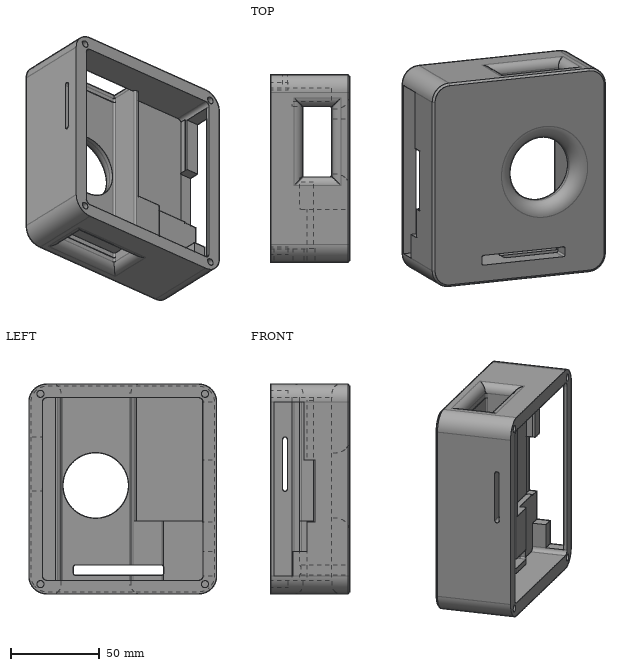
import cadquery as cq
import math

DEPTH = 45.0
WIDTH = 106.5
HEIGHT = 119.0
WALL = 7.75
CAVITY_RADIUS = 2.5
BACK_EDGE = 1.25

CAVITY_Y = WIDTH / 2 - WALL
CAVITY_Z = HEIGHT / 2 - WALL
CORNER_RADIUS = CAVITY_RADIUS + WALL

RIB_THICKNESS = 3.0
RIB_ROUND = 1.1
CHANNEL_FLOOR_X = 34.6
CHANNEL_CORNER_RADIUS = 1.0
CHANNEL_MAX_Y = 35.05
CHANNEL_MIN_Y = -4.7
OUTER_RIB_X = 12.1
INNER_RIB_X = 16.5
PORT_MIN_X = 18.3
PORT_MAX_X = 34.9
PORT_FLARE = 5.0

BLOCK_MIN_Y = -23.2
BAY_FLOOR_X = 20.6
SHELF_X = 24.2
SHELF_MIN_Y = -45.3
SHELF_Z = -18.1

SENSOR_DIAMETER = 37.0
SENSOR_Y = 15.3
SENSOR_Z = 2.0
SENSOR_FLARE_START_X = 37.0

BACK_SLOT_LENGTH = 51.0
BACK_SLOT_HEIGHT = 5.7
BACK_SLOT_Y = 2.4
BACK_SLOT_Z = -45.95
BACK_SLOT_RADIUS = 1.0

SIDE_SLOT_WIDTH = 2.6
SIDE_SLOT_LENGTH = 30.6
SIDE_SLOT_X = 8.2
SIDE_SLOT_Z = 14.1

WINDOW_FRONT_X = 2.0
WINDOW_Z = HEIGHT / 2 - CORNER_RADIUS
NOTCH_TOP_Z = 16.3
NOTCH_BOTTOM_Z = -18.6
SILL_Z = -35.4
WINDOW_TOP_X = 19.0
NOTCH_X = 25.2
WINDOW_BOTTOM_X = 12.6
WINDOW_STEPS = [
    (NOTCH_TOP_Z, WINDOW_Z, WINDOW_TOP_X),
    (NOTCH_BOTTOM_Z, NOTCH_TOP_Z, NOTCH_X),
    (SILL_Z, NOTCH_BOTTOM_Z, BAY_FLOOR_X),
    (-WINDOW_Z, SILL_Z, WINDOW_BOTTOM_X),
]

SCREW_DIAMETER = 4.0
SCREW_DEPTH = 10.0
SCREW_SPACING_Y = 93.2
SCREW_SPACING_Z = 107.8


def block(x_range, y_range, z_range):
    """Box spanning the given coordinate ranges."""
    (x0, x1), (y0, y1), (z0, z1) = x_range, y_range, z_range
    return cq.Workplane("XY").box(x1 - x0, y1 - y0, z1 - z0, centered=False).translate((x0, y0, z0))


def outer_body():
    body = cq.Workplane("YZ").rect(WIDTH, HEIGHT).extrude(DEPTH)
    return body.edges("|X").fillet(CORNER_RADIUS).faces(">X").edges().chamfer(BACK_EDGE)


def cavity_prism(depth):
    """Full rounded outline of the cavity, from the open front to the given depth."""
    prism = cq.Workplane("YZ").rect(2 * CAVITY_Y, 2 * CAVITY_Z).extrude(depth)
    return prism.edges("|X").fillet(CAVITY_RADIUS)


def inner_block():
    """Ribs and block left standing inside the cavity."""
    z_range = (-HEIGHT / 2, HEIGHT / 2)
    outer_rib = block(
        (OUTER_RIB_X, CHANNEL_FLOOR_X), (CHANNEL_MAX_Y, CHANNEL_MAX_Y + RIB_THICKNESS), z_range
    )
    outer_rib = outer_rib.faces("<X").edges("|Z").fillet(RIB_ROUND)
    rib_min_y = CHANNEL_MIN_Y - RIB_THICKNESS
    inner_rib = block((INNER_RIB_X, CHANNEL_FLOOR_X), (rib_min_y, CHANNEL_MIN_Y), z_range)
    inner_rib = inner_rib.faces("<X").edges("|Z").fillet(RIB_ROUND)
    lower = block((INNER_RIB_X, CHANNEL_FLOOR_X), (BLOCK_MIN_Y, CHANNEL_MIN_Y), (z_range[0], SHELF_Z))
    lower = lower.faces("<X").edges("|Z").fillet(RIB_ROUND)
    bay_floor = block((BAY_FLOOR_X, CHANNEL_FLOOR_X), (-CAVITY_Y, CHANNEL_MIN_Y), z_range)
    shelf = block((0, SHELF_X), (SHELF_MIN_Y, rib_min_y), (SHELF_Z, z_range[1]))
    return bay_floor.cut(shelf).union(inner_rib).union(lower).union(outer_rib)


def channel(x_range, z_range):
    """Stretch of the air channel, with rounded corners at its back."""
    space = block(x_range, (CHANNEL_MIN_Y, CHANNEL_MAX_Y), z_range)
    return space.edges("|Z and >X").fillet(CHANNEL_CORNER_RADIUS)


def flare_profile(plane, low, high):
    """Passage from low to high that curves outward to both sides at the top wall surface."""
    top = HEIGHT / 2
    start = top - PORT_FLARE
    swing = PORT_FLARE * math.sqrt(0.5)
    return (
        cq.Workplane(plane)
        .moveTo(low, start)
        .threePointArc((low - PORT_FLARE + swing, start + swing), (low - PORT_FLARE, top))
        .lineTo(high + PORT_FLARE, top)
        .threePointArc((high + PORT_FLARE - swing, start + swing), (high, start))
        .close()
        .extrude(WIDTH, both=True)
    )


def port_flare():
    """Mitred flare of the channel mouth in the top wall."""
    along_x = flare_profile("XZ", PORT_MIN_X, PORT_MAX_X)
    along_y = flare_profile("YZ", CHANNEL_MIN_Y, CHANNEL_MAX_Y)
    return along_x.intersect(along_y)


def sensor_opening():
    radius = SENSOR_DIAMETER / 2
    flare = DEPTH - SENSOR_FLARE_START_X
    swing = flare * math.sqrt(0.5)
    return (
        cq.Workplane("XY")
        .moveTo(OUTER_RIB_X, 0)
        .lineTo(OUTER_RIB_X, radius)
        .lineTo(SENSOR_FLARE_START_X, radius)
        .threePointArc(
            (SENSOR_FLARE_START_X + swing, radius + flare - swing), (DEPTH, radius + flare)
        )
        .lineTo(DEPTH, 0)
        .close()
        .revolve(360, (0, 0, 0), (1, 0, 0))
        .translate((0, SENSOR_Y, SENSOR_Z))
    )


def back_slot():
    slot = cq.Workplane("YZ").center(BACK_SLOT_Y, BACK_SLOT_Z).rect(BACK_SLOT_LENGTH, BACK_SLOT_HEIGHT)
    return slot.extrude(DEPTH).edges("|X").fillet(BACK_SLOT_RADIUS)


def side_slot():
    slot = cq.Workplane("XZ").center(SIDE_SLOT_X, SIDE_SLOT_Z).slot2D(SIDE_SLOT_LENGTH, SIDE_SLOT_WIDTH, 90)
    return slot.extrude(-WIDTH)


def window_steps():
    window = cq.Workplane("XY")
    for z_low, z_high, back_x in WINDOW_STEPS:
        window = window.union(block((WINDOW_FRONT_X, back_x), (-WIDTH / 2, SHELF_MIN_Y), (z_low, z_high)))
    return window


def screw_holes():
    holes = cq.Workplane("YZ").rect(SCREW_SPACING_Y, SCREW_SPACING_Z, forConstruction=True).vertices()
    return holes.circle(SCREW_DIAMETER / 2).extrude(SCREW_DEPTH)


hollow = cavity_prism(CHANNEL_FLOOR_X).cut(inner_block())
hollow = hollow.cut(block((0, DEPTH), (CHANNEL_MIN_Y, CHANNEL_MAX_Y), (-HEIGHT, HEIGHT)))
hollow = hollow.union(channel((0, CHANNEL_FLOOR_X), (-CAVITY_Z, CAVITY_Z)))

result = outer_body().cut(hollow)
for side in (-1, 1):
    wall_range = sorted((side * CAVITY_Z, side * HEIGHT / 2))
    result = result.cut(channel((PORT_MIN_X, PORT_MAX_X), wall_range))
result = result.cut(port_flare()).cut(port_flare().mirror("XY"))
result = result.cut(sensor_opening()).cut(back_slot()).cut(side_slot())
result = result.cut(window_steps()).cut(screw_holes())